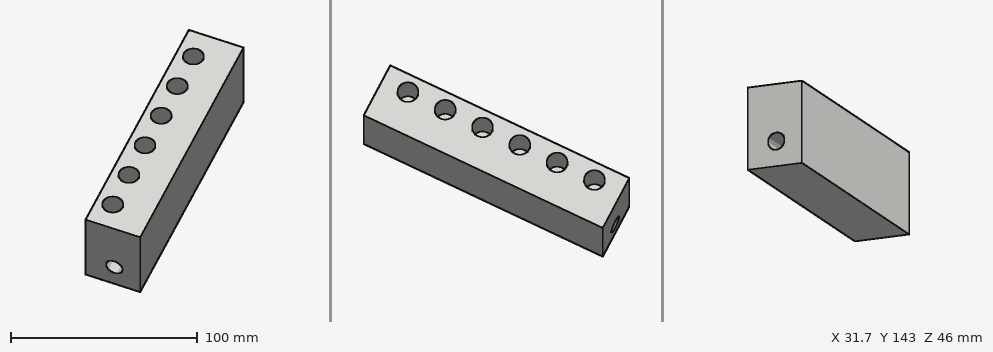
import cadquery as cq

width = 31.7
length = 143.0
height = 46.0

top_hole_diameter = 11.2
top_hole_count = 6
top_hole_pitch = 22.3
top_hole_x = 9.5
first_top_hole_y = 15.3
top_hole_depth = 22.3

bore_diameter = 9.6
bore_x = 16.7
bore_z = 14.0


def make_block():
    return cq.Workplane("XY").box(width, length, height, centered=False)


def make_top_holes():
    centers = [(top_hole_x, first_top_hole_y + i * top_hole_pitch) for i in range(top_hole_count)]
    return (
        cq.Workplane("XY", origin=(0, 0, height))
        .pushPoints(centers)
        .circle(top_hole_diameter / 2)
        .extrude(-top_hole_depth)
    )


def make_bore():
    return (
        cq.Workplane("XZ")
        .center(bore_x, bore_z)
        .circle(bore_diameter / 2)
        .extrude(-length)
    )


result = make_block().cut(make_top_holes()).cut(make_bore())